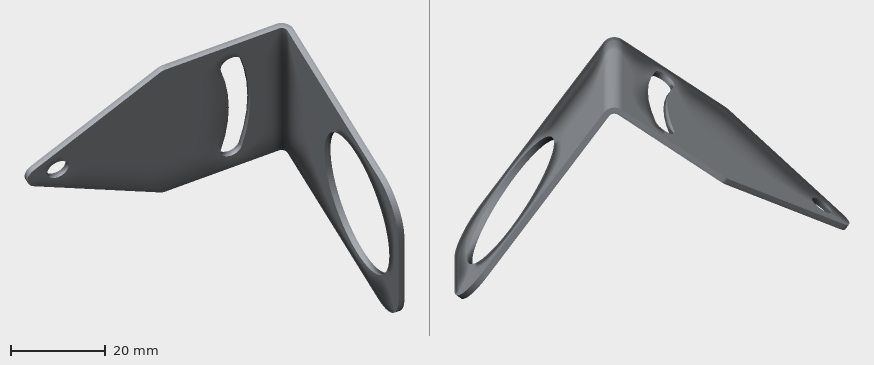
import cadquery as cq
import math

thickness = 1.4
inner_bend_radius = thickness
outer_bend_radius = inner_bend_radius + thickness
height = 40.0
half_height = height / 2

ring_flange_length = 57.5
ring_corner_radius = 10.0
ring_hole_diameter = 32.0
ring_hole_x = 37.0

taper_start = 30.0
taper_angle = 30.0
taper_corner_radius = 2.0
tip_radius = 3.0
apex_distance = taper_start + half_height / math.tan(math.radians(taper_angle))

pivot_hole_diameter = 5.0
pivot_distance = 54.5

slot_width = 5.0
slot_distance = 12.0
slot_radius = 49.0
slot_end_z = 13.5


def make_ring_flange():
    """Rectangular flange with two rounded free corners and the large hole."""
    flat_length = ring_flange_length - outer_bend_radius
    flange = (
        cq.Workplane("XY")
        .box(flat_length, thickness, height, centered=(False, False, True))
        .translate((outer_bend_radius, -thickness, 0))
    )
    flange = flange.edges("|Y and >X").fillet(ring_corner_radius)
    hole = (
        cq.Workplane("XZ")
        .center(ring_hole_x, 0)
        .circle(ring_hole_diameter / 2)
        .extrude(thickness)
    )
    return flange.cut(hole)


def make_bend():
    """Quarter-round bend joining the two flanges."""
    diagonal = math.sqrt(0.5)
    center_x = outer_bend_radius
    center_y = -outer_bend_radius

    def arc_middle(radius):
        return (center_x - radius * diagonal, center_y + radius * diagonal)

    return (
        cq.Workplane("XY")
        .workplane(offset=-half_height)
        .moveTo(0, center_y)
        .threePointArc(arc_middle(outer_bend_radius), (center_x, 0))
        .lineTo(center_x, -thickness)
        .threePointArc(arc_middle(inner_bend_radius), (thickness, center_y))
        .close()
        .extrude(height)
    )


def make_slot():
    """Curved slot of constant width with round ends."""
    arc_center_y = -slot_distance - slot_radius
    cap_radius = slot_width / 2
    end_angle = math.asin(slot_end_z / slot_radius)
    inner_radius = slot_radius - cap_radius
    outer_radius = slot_radius + cap_radius

    def arc_point(radius, angle):
        return (arc_center_y + radius * math.cos(angle), radius * math.sin(angle))

    def cap_middle(angle, side):
        y, z = arc_point(slot_radius, angle)
        return (y - side * cap_radius * math.sin(angle), z + side * cap_radius * math.cos(angle))

    return (
        cq.Workplane("YZ")
        .moveTo(*arc_point(outer_radius, -end_angle))
        .threePointArc(arc_point(outer_radius, 0), arc_point(outer_radius, end_angle))
        .threePointArc(cap_middle(end_angle, 1), arc_point(inner_radius, end_angle))
        .threePointArc(arc_point(inner_radius, 0), arc_point(inner_radius, -end_angle))
        .threePointArc(cap_middle(-end_angle, -1), arc_point(outer_radius, -end_angle))
        .close()
        .extrude(thickness)
    )


def make_pivot_flange():
    """Tapered flange with a rounded tip, the pivot hole and the curved slot."""
    flange = (
        cq.Workplane("YZ")
        .polyline([
            (-outer_bend_radius, -half_height),
            (-taper_start, -half_height),
            (-apex_distance, 0),
            (-taper_start, half_height),
            (-outer_bend_radius, half_height),
        ])
        .close()
        .extrude(thickness)
    )
    flange = flange.edges("|X and (not <Y) and (not >Y)").fillet(taper_corner_radius)
    flange = flange.edges("|X and <Y").fillet(tip_radius)
    pivot_hole = (
        cq.Workplane("YZ")
        .center(-pivot_distance, 0)
        .circle(pivot_hole_diameter / 2)
        .extrude(thickness)
    )
    return flange.cut(pivot_hole).cut(make_slot())


result = make_ring_flange().union(make_bend()).union(make_pivot_flange())